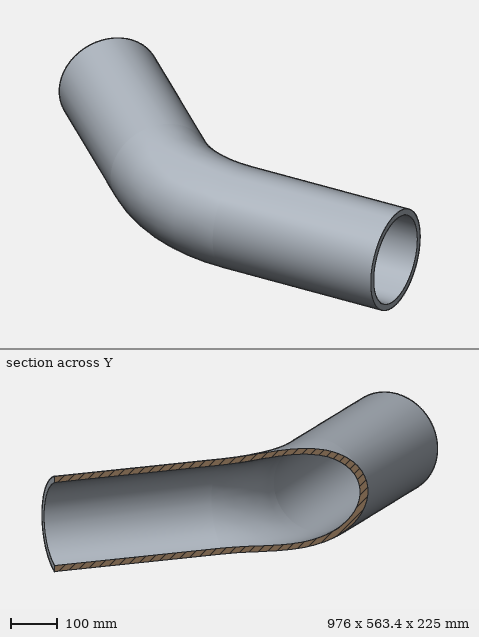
import cadquery as cq
import math

overall_length = 976.0
outer_diameter = 225.0
bore_diameter = 198.0
leg_length = 384.0
bend_angle = 45.0

sine = math.sin(math.radians(bend_angle))
cosine = math.cos(math.radians(bend_angle))
rim_reach = outer_diameter / 2 * sine
bend_radius = (overall_length - rim_reach - leg_length * (1 + cosine)) / sine

half_sine = math.sin(math.radians(bend_angle / 2))
half_cosine = math.cos(math.radians(bend_angle / 2))
bend_start = (leg_length, 0)
bend_middle = (leg_length + bend_radius * half_sine, bend_radius * (1 - half_cosine))
bend_end = (leg_length + bend_radius * sine, bend_radius * (1 - cosine))
pipe_end = (bend_end[0] + leg_length * cosine, bend_end[1] + leg_length * sine)

centreline = (
    cq.Workplane("XY")
    .lineTo(*bend_start)
    .threePointArc(bend_middle, bend_end)
    .lineTo(*pipe_end)
)

result = (
    cq.Workplane("YZ")
    .circle(outer_diameter / 2)
    .circle(bore_diameter / 2)
    .sweep(centreline)
)